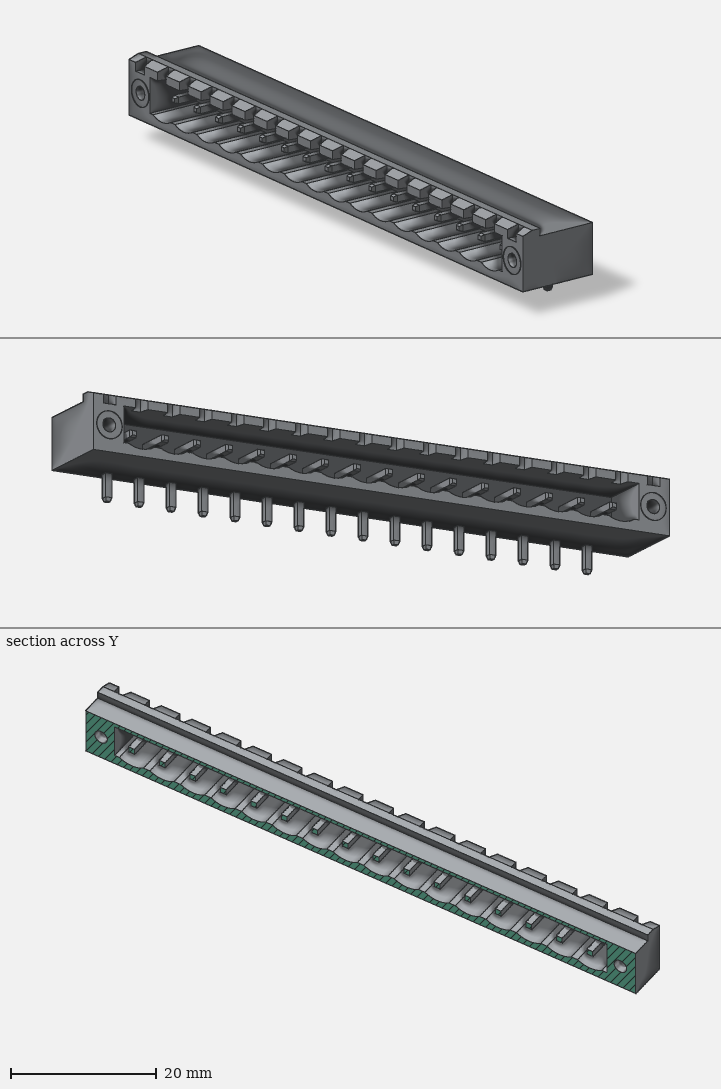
import cadquery as cq


length = 90.0
depth = 12.0
overall_height = 12.6
pin_drop = 4.0
lip_height = overall_height - pin_drop
rear_step = 1.1
rear_height = lip_height - rear_step
lip_back = 3.0
slope_back = 1.6
slope_drop = 0.5

pole_count = 16
pole_span = 75.0
pitch = pole_span / (pole_count - 1)
pole_places = [-pole_span / 2 + i * pitch for i in range(pole_count)]
screw_places = [pole_places[0] - pitch, pole_places[-1] + pitch]

cavity_length = 80.5
cavity_depth = 8.0
cavity_top = 6.8
cavity_floor = 1.6
scallop_width = 4.0
scallop_sag = 0.5

notch_front_width = 2.0
notch_back_width = 1.35

pin_size = 1.0
pin_tip_size = 0.6
pin_tip_length = 0.5
contact_height = 3.9
contact_tip_y = 2.0
leg_from_rear = 2.1
leg_y = depth - leg_from_rear

insert_diameter = 4.0
insert_recess = 0.1
bore_diameter = 2.0
bore_depth = 8.0


def make_housing():
    """Stepped side profile extruded over the full length."""
    profile = [
        (0, 0),
        (depth, 0),
        (depth, rear_height),
        (lip_back, rear_height),
        (lip_back, lip_height),
        (slope_back, lip_height),
        (0, lip_height - slope_drop),
    ]
    return cq.Workplane("YZ").polyline(profile).close().extrude(length / 2, both=True)


def make_cavity():
    """Front pocket whose floor is hollowed by one shallow arc under each pole."""
    half = cavity_length / 2
    outline = cq.Workplane("XZ").moveTo(-half, cavity_top).lineTo(-half, cavity_floor)
    for x in pole_places:
        outline = outline.lineTo(x - scallop_width / 2, cavity_floor).threePointArc(
            (x, cavity_floor - scallop_sag), (x + scallop_width / 2, cavity_floor)
        )
    outline = outline.lineTo(half, cavity_floor).lineTo(half, cavity_top).close()
    return outline.extrude(-cavity_depth)


def make_notch(x):
    """Notch through the sloped lip, narrowing towards the rear."""
    plan = [
        (x - notch_front_width / 2, 0),
        (x + notch_front_width / 2, 0),
        (x + notch_back_width / 2, slope_back),
        (x - notch_back_width / 2, slope_back),
    ]
    floor = cq.Workplane("XY").workplane(offset=cavity_top)
    return floor.polyline(plan).close().extrude(lip_height - cavity_top)


def make_insert_hole(x):
    """Blind bore with a shallow round recess marking the insert."""
    front = cq.Workplane("XZ").center(x, contact_height)
    bore = front.circle(bore_diameter / 2).extrude(-bore_depth)
    recess = front.circle(insert_diameter / 2).extrude(-insert_recess)
    return bore.union(recess)


def make_bar(start, direction, bar_length):
    """Square bar running from start along direction and ending in a tapered tip."""
    shank_length = bar_length - pin_tip_length
    base = cq.Workplane(cq.Plane(origin=start, xDir=(1, 0, 0), normal=direction))
    shank = base.rect(pin_size, pin_size).extrude(shank_length)
    tip = (
        base.workplane(offset=shank_length)
        .rect(pin_size, pin_size)
        .workplane(offset=pin_tip_length)
        .rect(pin_tip_size, pin_tip_size)
        .loft()
    )
    return shank.union(tip)


def make_pin(x):
    """Right-angle pin: a contact facing the front and a solder leg facing down."""
    corner = (x, leg_y, contact_height)
    contact = make_bar(corner, (0, -1, 0), leg_y - contact_tip_y)
    leg = make_bar(corner, (0, 0, -1), contact_height + pin_drop)
    return contact.union(leg)


result = make_housing().cut(make_cavity())

for x in pole_places + screw_places:
    result = result.cut(make_notch(x))

for x in screw_places:
    result = result.cut(make_insert_hole(x))

for x in pole_places:
    result = result.union(make_pin(x))